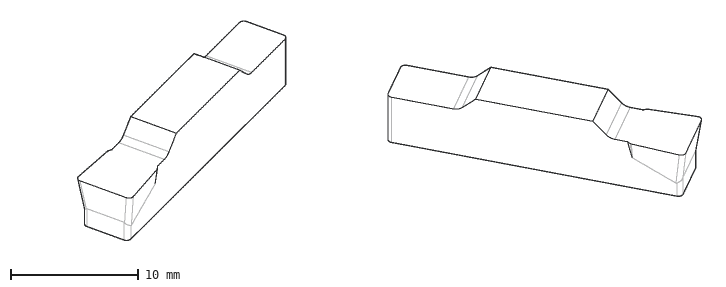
import cadquery as cq
import math

OVERALL_LENGTH = 24.58
HEIGHT = 5.97
CORNER_RADIUS = 0.4

HEAD_WIDTH = 5.05
CLEARANCE_ANGLE = 7.0
SIDE_RELIEF_ANGLE = 3.4
FRONT_FACE_DEPTH = 2.8
HEAD_DEPTH = 4.0
HEAD_LENGTH = 4.48
SHOULDER_ANGLE = 30.0
SHOULDER_RADIUS = 0.2

SHANK_WIDTH = 4.2
LAND_HEIGHT = 4.57
LAND_LENGTH = 5.49
RAMP_ANGLE = 45.0
RAMP_RADIUS = 1.0

FRONT_OVERHANG = FRONT_FACE_DEPTH * math.tan(math.radians(CLEARANCE_ANGLE))
SHANK_LENGTH = OVERALL_LENGTH - FRONT_OVERHANG
HALF_LENGTH = SHANK_LENGTH / 2
HALF_SHANK_WIDTH = SHANK_WIDTH / 2
FRONT_EDGE_Y = -HALF_LENGTH - FRONT_OVERHANG


def make_shank():
    """Bar along Y, symmetric end to end, with 45 degree ramps up to the raised middle."""
    ramp_foot = HALF_LENGTH - LAND_LENGTH - RAMP_RADIUS * math.tan(math.radians(RAMP_ANGLE / 2))
    ramp_top = ramp_foot - (HEIGHT - LAND_HEIGHT) / math.tan(math.radians(RAMP_ANGLE))
    profile = [
        (-HALF_LENGTH, 0),
        (HALF_LENGTH, 0),
        (HALF_LENGTH, LAND_HEIGHT),
        (ramp_foot, LAND_HEIGHT),
        (ramp_top, HEIGHT),
        (-ramp_top, HEIGHT),
        (-ramp_foot, LAND_HEIGHT),
        (-HALF_LENGTH, LAND_HEIGHT),
    ]
    bar = cq.Workplane("YZ").polyline(profile).close().extrude(HALF_SHANK_WIDTH, both=True)
    bar = bar.edges("|Z").fillet(CORNER_RADIUS)
    for side in (-1, 1):
        foot_edge = cq.selectors.NearestToPointSelector((0, side * ramp_foot, LAND_HEIGHT))
        bar = bar.edges(foot_edge).fillet(RAMP_RADIUS)
    return bar


def make_head():
    """Wedge whose walls all lean inward below the cutting edge."""
    relief = math.radians(SIDE_RELIEF_ANGLE)
    corner_center_x = HEAD_WIDTH / 2 - CORNER_RADIUS
    front_x = corner_center_x + CORNER_RADIUS * (1 + math.sin(relief)) / math.cos(relief)
    shoulder_x = front_x - HEAD_LENGTH * math.tan(relief)
    root_x = HALF_SHANK_WIDTH / 2
    root_run = (shoulder_x - root_x) / math.tan(math.radians(SHOULDER_ANGLE))
    shoulder_y = FRONT_EDGE_Y + HEAD_LENGTH
    right_side = [
        (front_x, FRONT_EDGE_Y),
        (shoulder_x, shoulder_y),
        (root_x, shoulder_y + root_run),
    ]
    left_side = [(-x, y) for x, y in reversed(right_side)]
    wedge = (
        cq.Workplane("XY", origin=(0, 0, LAND_HEIGHT))
        .polyline(right_side + left_side)
        .close()
        .extrude(-HEAD_DEPTH, taper=CLEARANCE_ANGLE)
    )
    for side in (-1, 1):
        for x, y, radius in (
            (front_x, FRONT_EDGE_Y, CORNER_RADIUS),
            (shoulder_x, shoulder_y, SHOULDER_RADIUS),
        ):
            corner = cq.selectors.NearestToPointSelector((side * x, y, LAND_HEIGHT - HEAD_DEPTH / 2))
            wedge = wedge.edges("not #Z").edges(corner).fillet(radius)
    return wedge


result = make_shank().union(make_head())